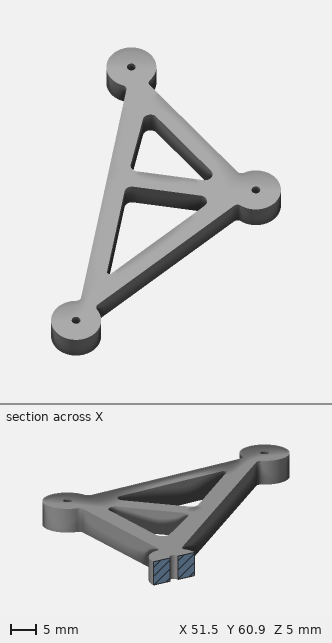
import cadquery as cq
import math

THICKNESS = 5.0
BOSS_DIAMETER = 10.0
HOLE_DIAMETER = 1.75
ARM_WIDTH = 4.0
STRUT_WIDTH = 4.0
STRUT_OFFSET = 28.1
TAPER_ANGLE = 2.3
OUTER_FILLET = 1.0
WINDOW_FILLET = 1.5
TIP_FILLET = 0.5

LEFT = (0.0, 0.0)
RIGHT = (40.0, -2.0)
BOTTOM = (41.48, -50.92)
HOLE_CENTRES = [LEFT, RIGHT, BOTTOM]


def unit(start, end):
    """Unit vector from start to end."""
    length = math.dist(start, end)
    return ((end[0] - start[0]) / length, (end[1] - start[1]) / length)


def move(point, direction, distance):
    """Point shifted by a distance along a direction."""
    return (point[0] + distance * direction[0], point[1] + distance * direction[1])


def right_of(direction):
    """Direction turned 90 degrees clockwise."""
    return (direction[1], -direction[0])


def rotate(direction, degrees):
    """Direction turned counter-clockwise by an angle."""
    cosine = math.cos(math.radians(degrees))
    sine = math.sin(math.radians(degrees))
    return (cosine * direction[0] - sine * direction[1], sine * direction[0] + cosine * direction[1])


def offset_line(start, end, distance):
    """Line from start to end moved to its right, as a point and a direction."""
    direction = unit(start, end)
    return move(start, right_of(direction), distance), direction


def intersect(line_a, line_b):
    """Crossing point of two lines."""
    (ax, ay), (ux, uy) = line_a
    (bx, by), (vx, vy) = line_b
    along_a = ((bx - ax) * vy - (by - ay) * vx) / (ux * vy - uy * vx)
    return move((ax, ay), (ux, uy), along_a)


def prism(corners):
    """Straight-sided plate of full thickness."""
    return cq.Workplane("XY").polyline(corners).close().extrude(THICKNESS)


def round_corner(body, corner, radius):
    """Fillet the upright edge that stands at a corner."""
    nearest = cq.selectors.NearestToPointSelector((*corner, THICKNESS / 2))
    return body.edges("|Z").edges(nearest).fillet(radius)


def window(corners, radii):
    """Triangular cutter with its own radius at each corner."""
    body = prism(corners)
    for corner, radius in zip(corners, radii):
        body = round_corner(body, corner, radius)
    return body


def make_frame():
    """Solid triangle with a round boss at each corner, blended together."""
    bosses = cq.Workplane("XY").pushPoints(HOLE_CENTRES).circle(BOSS_DIAMETER / 2).extrude(THICKNESS)
    frame = prism(HOLE_CENTRES).union(bosses)
    for i, start in enumerate(HOLE_CENTRES):
        end = HOLE_CENTRES[(i + 1) % len(HOLE_CENTRES)]
        for near, far in ((start, end), (end, start)):
            junction = move(near, unit(near, far), BOSS_DIAMETER / 2)
            frame = round_corner(frame, junction, OUTER_FILLET)
    return frame


def make_windows():
    """Two triangular openings between the three arms and the strut."""
    top_edge = offset_line(LEFT, RIGHT, ARM_WIDTH)
    right_edge = offset_line(RIGHT, BOTTOM, ARM_WIDTH)
    long_edge = offset_line(BOTTOM, LEFT, ARM_WIDTH)

    long_direction = unit(LEFT, BOTTOM)
    strut_direction = right_of(long_direction)
    strut_left = (move(LEFT, long_direction, STRUT_OFFSET - STRUT_WIDTH / 2), strut_direction)
    strut_right = (move(LEFT, long_direction, STRUT_OFFSET + STRUT_WIDTH / 2), strut_direction)

    strut_foot = intersect(strut_left, long_edge)
    tapered_edge = (strut_foot, rotate(long_edge[1], -TAPER_ANGLE))

    left_window = window(
        [intersect(tapered_edge, top_edge), intersect(top_edge, strut_left), strut_foot],
        [WINDOW_FILLET, WINDOW_FILLET, WINDOW_FILLET],
    )
    right_window = window(
        [intersect(strut_right, right_edge), intersect(right_edge, long_edge), intersect(long_edge, strut_right)],
        [WINDOW_FILLET, TIP_FILLET, WINDOW_FILLET],
    )
    return left_window.union(right_window)


def make_holes():
    """Through hole at the centre of each boss."""
    return cq.Workplane("XY").pushPoints(HOLE_CENTRES).circle(HOLE_DIAMETER / 2).extrude(THICKNESS)


result = make_frame().cut(make_windows()).cut(make_holes())